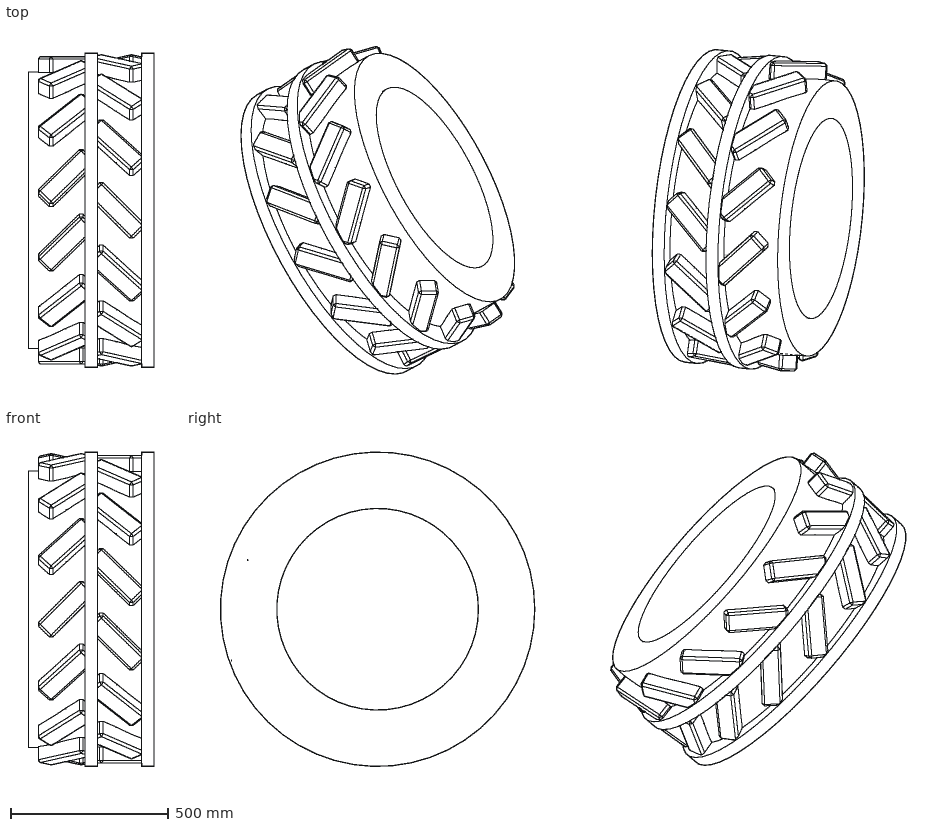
import cadquery as cq

drum_length = 400.0
bore_diameter = 640.0
drum_diameter = 880.0
rim_diameter = 1000.0
rim_width = 40.0
rim_pitch = 180.0
end_rim_start = drum_length - rim_width
middle_rim_start = end_rim_start - rim_pitch
middle_rim_center = middle_rim_start + rim_width / 2

lugs_per_row = 14
lug_length = 200.0
lug_width = 65.0
lug_top_radius = 489.0
lug_root_radius = 438.0
lug_chamfer = 8.0
lug_slant = 45.0
lug_row_offset = 80.0
lug_step = 360.0 / lugs_per_row


def disc(diameter, start, length):
    """Cylinder along X beginning at x = start."""
    return cq.Workplane("YZ").workplane(offset=start).circle(diameter / 2).extrude(length)


def lug(x_center, slant):
    """One lug on top of the drum, turned by slant about its own radial axis."""
    bar = (
        cq.Workplane("XY")
        .workplane(offset=lug_root_radius)
        .rect(lug_length, lug_width)
        .extrude(lug_top_radius - lug_root_radius)
        .edges("|Z or >Z")
        .chamfer(lug_chamfer)
    )
    return bar.rotate((0, 0, 0), (0, 0, 1), slant).translate((x_center, 0, 0))


def add_lug_row(body, x_center, slant, first_angle):
    """Fuse a full ring of lugs onto the body."""
    first_lug = lug(x_center, slant)
    for index in range(lugs_per_row):
        angle = first_angle + index * lug_step
        body = body.union(first_lug.rotate((0, 0, 0), (1, 0, 0), angle))
    return body


body = disc(drum_diameter, 0, drum_length)
for rim_start in (middle_rim_start, end_rim_start):
    body = body.union(disc(rim_diameter, rim_start, rim_width))

body = add_lug_row(body, middle_rim_center - lug_row_offset, lug_slant, lug_step / 2)
body = add_lug_row(body, middle_rim_center + lug_row_offset, -lug_slant, 0)

result = body.cut(disc(bore_diameter, 0, drum_length))